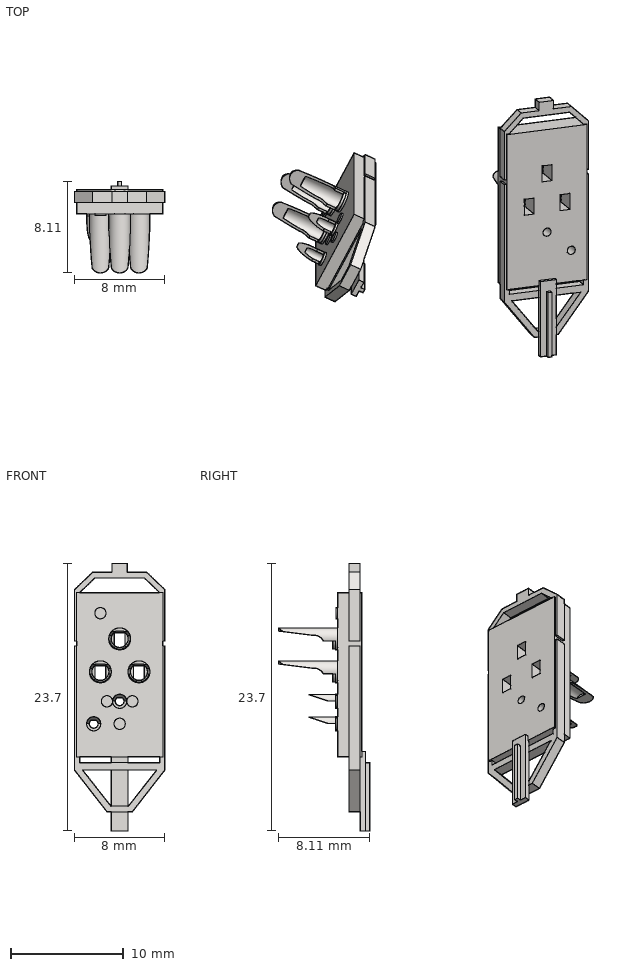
import cadquery as cq

FRAME_WIDTH = 8.0
FRAME_STEP = 0.2
PLATE_WIDTH = FRAME_WIDTH - 2 * FRAME_STEP
PLATE_BOTTOM = 6.56
PLATE_TOP = 21.12
FRAME_FRONT = 1.0
FRAME_BACK = 2.0
PLATE_BACK = 2.15
LEG_WIDTH = 0.47
GAP_BOTTOM = 16.4
GAP_TOP = 16.83

UPPER_SHOULDER = 21.38
UPPER_TOP = 22.92
UPPER_BAR = 0.52
UPPER_OUTER_WIDTH = 4.79
UPPER_INNER_WIDTH = 4.38
TAB_WIDTH = 1.37
TOTAL_HEIGHT = 23.7

LOWER_SHOULDER = 5.4
CROSSBAR_TOP = 6.07
LOWER_BOTTOM = 1.7
LOWER_BAR = 0.5
LOWER_OUTER_WIDTH = 2.25
LOWER_WINDOW_TOP_WIDTH = 6.55

MAST_WIDTH = 1.52
MAST_TOP = 7.06
MAST_BACK = 2.5
RIB_WIDTH = 0.35
RIB_TOP = CROSSBAR_TOP
RIB_BACK = 2.87

BLANK_DIAMETER = 1.0
BLANK_HEIGHT = 0.15

LARGE_COLLAR_DIAMETER = 1.95
LARGE_COLLAR_HEIGHT = 0.2
LARGE_RIM_DIAMETER = 1.8
LARGE_RIM_HEIGHT = 0.43
LARGE_BORE_DIAMETER = 1.5
LARGE_BORE_DEPTH = 4.0
LARGE_TIP_RADIUS = 0.83
LARGE_HOOD_LENGTH = 5.24
LARGE_HOOD_EDGE = -0.2
LARGE_WALL_LENGTH = 1.25
LARGE_BEND_MIDDLE = (1.55, 0.15)
LARGE_BEND_END = (2.2, 0.3)
LARGE_TIP_EDGE = 0.69
SLOT_WIDTH = 0.92

SMALL_COLLAR_DIAMETER = 1.25
SMALL_COLLAR_HEIGHT = 0.2
SMALL_HOOD_DIAMETER = 1.23
SMALL_BORE_DIAMETER = 0.75
SMALL_BORE_DEPTH = 1.7
SMALL_HOOD_LENGTH = 2.54
SMALL_WALL_LENGTH = 0.88
SMALL_HOOD_EDGE = 0.02
SMALL_TIP_EDGE = 0.58

LAMP_SIDE = 1.7
TOP_LAMP_Z = 17.02
MIDDLE_LAMP_Z = 14.1
UPPER_SMALL_Z = 11.5
LOWER_SMALL_Z = 9.5
TOP_BLANK_Z = 19.3
SMALL_LAMP_SIDE = 2.3
BLANK_SIDE = (SMALL_COLLAR_DIAMETER + BLANK_DIAMETER) / 2
LARGE_LAMPS = [(0, TOP_LAMP_Z), (-LAMP_SIDE, MIDDLE_LAMP_Z), (LAMP_SIDE, MIDDLE_LAMP_Z)]
SMALL_LAMPS = [(0, UPPER_SMALL_Z), (-SMALL_LAMP_SIDE, LOWER_SMALL_Z)]
BLANK_LAMPS = [
    (-LAMP_SIDE, TOP_BLANK_Z),
    (-BLANK_SIDE, UPPER_SMALL_Z),
    (BLANK_SIDE, UPPER_SMALL_Z),
    (0, LOWER_SMALL_Z),
]


def block(width, y_front, y_back, z_bottom, z_top):
    """Box centred on X = 0."""
    depth = y_back - y_front
    height = z_top - z_bottom
    return cq.Workplane("XY").box(width, depth, height, centered=(True, False, False)).translate(
        (0, y_front, z_bottom)
    )


def frame_prism(half_outline):
    """Frame-thick prism from the +X half of an outline, mirrored about X = 0."""
    mirrored = [(-x, z) for x, z in reversed(half_outline)]
    prism = cq.Workplane("XZ", origin=(0, FRAME_BACK, 0)).polyline(half_outline + mirrored).close()
    return prism.extrude(FRAME_BACK - FRAME_FRONT)


def outward_cylinder(diameter, length, center):
    """Cylinder from the plate face toward -Y, centred at (X, Z)."""
    x, z = center
    return cq.Workplane("XZ").center(x, z).circle(diameter / 2).extrude(length)


def make_upper_frame():
    side = FRAME_WIDTH / 2
    outer = frame_prism([
        (side, GAP_TOP),
        (side, UPPER_SHOULDER),
        (UPPER_OUTER_WIDTH / 2, UPPER_TOP),
    ])
    window = frame_prism([
        (side - LEG_WIDTH, GAP_TOP),
        (side - LEG_WIDTH, PLATE_TOP),
        (UPPER_INNER_WIDTH / 2, UPPER_TOP - UPPER_BAR),
    ])
    tab = block(TAB_WIDTH, FRAME_FRONT, FRAME_BACK, UPPER_TOP, TOTAL_HEIGHT)
    return outer.cut(window).union(tab)


def make_lower_frame():
    side = FRAME_WIDTH / 2
    outer = frame_prism([
        (LOWER_OUTER_WIDTH / 2, LOWER_BOTTOM),
        (side, LOWER_SHOULDER),
        (side, GAP_BOTTOM),
    ])
    plate_window = block(FRAME_WIDTH - 2 * LEG_WIDTH, FRAME_FRONT, FRAME_BACK, CROSSBAR_TOP, GAP_BOTTOM)
    lower_window = frame_prism([
        (MAST_WIDTH / 2, LOWER_BOTTOM + LOWER_BAR),
        (LOWER_WINDOW_TOP_WIDTH / 2, LOWER_SHOULDER),
    ])
    return outer.cut(plate_window).cut(lower_window)


def make_panel():
    plate = block(PLATE_WIDTH, 0, PLATE_BACK, PLATE_BOTTOM, PLATE_TOP)
    mast = block(MAST_WIDTH, FRAME_BACK, MAST_BACK, 0, MAST_TOP)
    rib = block(RIB_WIDTH, MAST_BACK, RIB_BACK, 0, RIB_TOP)
    panel = plate.union(make_upper_frame()).union(make_lower_frame()).union(mast).union(rib)

    slots = cq.Workplane("XZ").pushPoints(LARGE_LAMPS).rect(SLOT_WIDTH, LARGE_BORE_DIAMETER)
    holes = cq.Workplane("XZ").pushPoints(SMALL_LAMPS).circle(SMALL_BORE_DIAMETER / 2)
    return panel.cut(slots.extrude(-PLATE_BACK)).cut(holes.extrude(-PLATE_BACK))


def hood_profile(center):
    """Workplane in the YZ plane of a lamp: local x is the distance from the plate, y is up."""
    x, z = center
    plane = cq.Plane(origin=(x, 0, z), xDir=(0, -1, 0), normal=(-1, 0, 0))
    return cq.Workplane(plane)


def make_large_lamp(center):
    x, z = center
    radius = LARGE_COLLAR_DIAMETER / 2

    underside = (
        hood_profile(center)
        .moveTo(LARGE_COLLAR_HEIGHT, -LARGE_COLLAR_DIAMETER)
        .lineTo(LARGE_COLLAR_HEIGHT, LARGE_HOOD_EDGE)
        .lineTo(LARGE_WALL_LENGTH, LARGE_HOOD_EDGE)
        .threePointArc(LARGE_BEND_MIDDLE, LARGE_BEND_END)
        .lineTo(LARGE_HOOD_LENGTH, LARGE_TIP_EDGE)
        .lineTo(LARGE_HOOD_LENGTH, -LARGE_COLLAR_DIAMETER)
        .close()
        .extrude(LARGE_COLLAR_DIAMETER, both=True)
    )
    shoulder = LARGE_HOOD_LENGTH - LARGE_TIP_RADIUS
    margin = radius + 0.24
    taper_start = LARGE_BEND_END[0]
    plan = (
        cq.Workplane("XY", origin=(x, 0, z - margin))
        .moveTo(-margin, 0)
        .lineTo(-margin, -taper_start)
        .lineTo(-LARGE_TIP_RADIUS, -shoulder)
        .threePointArc((0, -LARGE_HOOD_LENGTH), (LARGE_TIP_RADIUS, -shoulder))
        .lineTo(margin, -taper_start)
        .lineTo(margin, 0)
        .close()
        .extrude(2 * margin)
    )
    hood = outward_cylinder(LARGE_COLLAR_DIAMETER, LARGE_HOOD_LENGTH, center).intersect(plan).cut(underside)
    rim = outward_cylinder(LARGE_RIM_DIAMETER, LARGE_RIM_HEIGHT, center)
    bore = outward_cylinder(LARGE_BORE_DIAMETER, LARGE_BORE_DEPTH, center)
    return hood.union(rim).cut(bore)


def make_small_lamp(center):
    radius = SMALL_COLLAR_DIAMETER / 2
    kept = (
        hood_profile(center)
        .moveTo(0, SMALL_HOOD_EDGE)
        .lineTo(SMALL_WALL_LENGTH, SMALL_HOOD_EDGE)
        .lineTo(SMALL_HOOD_LENGTH, SMALL_TIP_EDGE)
        .lineTo(SMALL_HOOD_LENGTH, radius)
        .lineTo(0, radius)
        .close()
        .extrude(radius, both=True)
    )
    hood = outward_cylinder(SMALL_HOOD_DIAMETER, SMALL_HOOD_LENGTH, center).intersect(kept)
    collar = outward_cylinder(SMALL_COLLAR_DIAMETER, SMALL_COLLAR_HEIGHT, center)
    bore = outward_cylinder(SMALL_BORE_DIAMETER, SMALL_BORE_DEPTH, center)
    return collar.union(hood).cut(bore)


def make_blank_lamp(center):
    return outward_cylinder(BLANK_DIAMETER, BLANK_HEIGHT, center)


panel = make_panel()
large_lamps = [make_large_lamp(center) for center in LARGE_LAMPS]
small_lamps = [make_small_lamp(center) for center in SMALL_LAMPS]
blank_lamps = [make_blank_lamp(center) for center in BLANK_LAMPS]

bodies = [panel, *large_lamps, *small_lamps, *blank_lamps]
result = cq.Compound.makeCompound([body.val() for body in bodies])